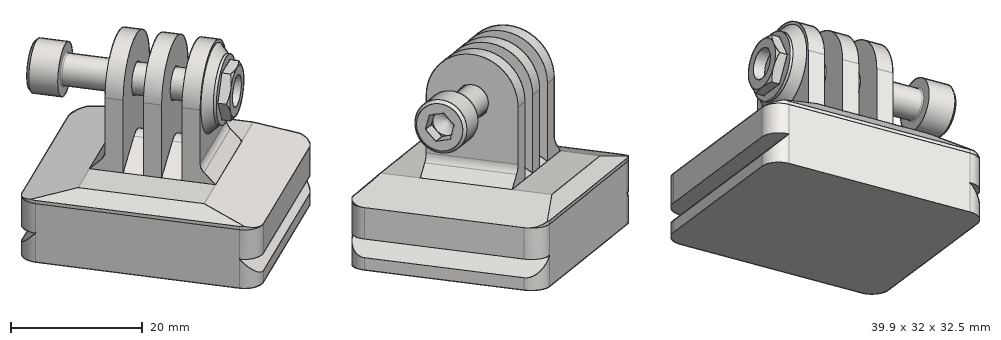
import cadquery as cq
import math


base_length = 38.0
base_width = 32.0
corner_radius = 3.0

plate_height = 10.0
notch_depth = 3.0
notch_bottom = 2.0
notch_top = notch_bottom + notch_depth

mount_base_height = 2.6
mount_top = plate_height + mount_base_height
mount_top_length = 19.85
front_bevel = 2.05

axis_height = 25.0
lug_radius = 7.5
lug_gap = 3.2
lug_thickness = 2.85
lug_count = 3
lug_pitch = lug_thickness + lug_gap
lug_stack = lug_count * lug_thickness + (lug_count - 1) * lug_gap
lug_face = lug_stack / 2
lug_foot = (mount_top_length - lug_stack) / 2
foot_fillet = 2.0
ridge_height = 4.0
ridge_radius = 3.0

boss_diameter = 11.0
boss_cone_length = 1.5
boss_rim_length = 0.48
boss_cone_diameter = boss_diameter + 2 * boss_cone_length
boss_face = lug_face + boss_cone_length + boss_rim_length

nut_flats = 8.0
nut_corners = nut_flats / math.cos(math.pi / 6)
nut_recess = 3.0
nut_projection = 1.7
nut_height = nut_recess + nut_projection
nut_start = boss_face - nut_recess
nut_chamfer_angle = math.radians(30)

screw_diameter = 5.0
screw_hole_diameter = 5.3
screw_length = 25.0
head_diameter = 8.5
head_height = 5.0
head_chamfer = 0.48
neck_fillet = 0.2
head_end = -20.85
head_seat = head_end + head_height
socket_flats = 4.2
socket_corners = socket_flats / math.cos(math.pi / 6)
socket_depth = 2.5
socket_turn = -15
drill_diameter = socket_flats
drill_cone_height = drill_diameter / 2 * math.tan(math.radians(30))


def axis_plane(x):
    """Plane facing +X at the given X, centred on the screw axis; local x is Y, local y is Z."""
    return cq.Workplane("YZ", origin=(x, 0, axis_height))


def axis_cylinder(start, end, diameter):
    return axis_plane(start).circle(diameter / 2).extrude(end - start)


def axis_cone(start, end, start_diameter, end_diameter):
    """Cone frustum along the screw axis; an end diameter of zero gives a full cone."""
    return cq.Workplane(
        cq.Solid.makeCone(
            start_diameter / 2,
            end_diameter / 2,
            end - start,
            pnt=cq.Vector(start, 0, axis_height),
            dir=cq.Vector(1, 0, 0),
        )
    )


def nut_prism(start, length):
    """Hexagon along the screw axis with two corners pointing along Y."""
    return axis_plane(start).polygon(6, nut_corners).extrude(length)


def base_block(bottom, height):
    return (
        cq.Workplane("XY", origin=(0, 0, bottom))
        .rect(base_length, base_width)
        .extrude(height)
        .edges("|Z")
        .fillet(corner_radius)
    )


def make_plate():
    """Rectangular plate with a dovetail notch along each X side."""
    plate = base_block(0, plate_height)
    for side in (-1, 1):
        outer_x = side * base_length / 2
        inner_x = outer_x - side * notch_depth
        notch = (
            cq.Workplane("XZ")
            .moveTo(outer_x, notch_bottom)
            .lineTo(inner_x, notch_top)
            .lineTo(outer_x, notch_top)
            .close()
            .extrude(base_width / 2, both=True)
        )
        plate = plate.cut(notch)
    return plate


def bevelled_base():
    """Base of the mount: shallow bevels on the X sides, short 45 degree bevels on the Y sides."""
    end_profile = (
        cq.Workplane("XZ")
        .moveTo(-base_length / 2, plate_height)
        .lineTo(base_length / 2, plate_height)
        .lineTo(mount_top_length / 2, mount_top)
        .lineTo(-mount_top_length / 2, mount_top)
        .close()
        .extrude(base_width / 2, both=True)
    )
    block = base_block(plate_height, mount_base_height)
    bevel_foot = mount_top - front_bevel
    for side in (-1, 1):
        outer_y = side * base_width / 2
        wedge = (
            cq.Workplane("YZ")
            .moveTo(outer_y, bevel_foot)
            .lineTo(outer_y, mount_top)
            .lineTo(outer_y - side * front_bevel, mount_top)
            .close()
            .extrude(base_length / 2, both=True)
        )
        block = block.cut(wedge)
    return block.intersect(end_profile)


def lug_block():
    """Lugs before slotting: splayed foot along X, round top about the screw axis."""
    lug_top = axis_height + lug_radius
    foot_top = mount_top + lug_foot
    side_profile = (
        cq.Workplane("XZ")
        .moveTo(-mount_top_length / 2, mount_top)
        .lineTo(mount_top_length / 2, mount_top)
        .lineTo(lug_face, foot_top)
        .lineTo(lug_face, lug_top)
        .lineTo(-lug_face, lug_top)
        .lineTo(-lug_face, foot_top)
        .close()
        .extrude(lug_radius, both=True)
    )
    for side in (-1, 1):
        foot_corner = cq.selectors.NearestToPointSelector((side * lug_face, 0, foot_top))
        side_profile = side_profile.edges(foot_corner).fillet(foot_fillet)
    end_profile = (
        cq.Workplane("YZ")
        .moveTo(-lug_radius, mount_top)
        .lineTo(lug_radius, mount_top)
        .lineTo(lug_radius, axis_height)
        .threePointArc((0, lug_top), (-lug_radius, axis_height))
        .close()
        .extrude(mount_top_length / 2, both=True)
    )
    return side_profile.intersect(end_profile)


def gap_cutter():
    """Space between two lugs, with a rounded ridge running along X as its floor."""
    lug_top = axis_height + lug_radius
    return (
        cq.Workplane("YZ")
        .moveTo(-lug_radius, mount_top)
        .lineTo(0, mount_top + ridge_height)
        .lineTo(lug_radius, mount_top)
        .lineTo(lug_radius, lug_top)
        .lineTo(-lug_radius, lug_top)
        .close()
        .extrude(lug_gap / 2, both=True)
        .edges(cq.selectors.NearestToPointSelector((0, 0, mount_top + ridge_height)))
        .fillet(ridge_radius)
    )


def make_mount():
    lugs = lug_block()
    for index in range(lug_count - 1):
        gap_x = (index - (lug_count - 2) / 2) * lug_pitch
        lugs = lugs.cut(gap_cutter().translate((gap_x, 0, 0)))
    boss_rim = axis_cylinder(boss_face - boss_rim_length, boss_face, boss_diameter)
    boss_cone = axis_cone(lug_face, lug_face + boss_cone_length, boss_cone_diameter, boss_diameter)
    screw_hole = axis_cylinder(-lug_face, boss_face, screw_hole_diameter)
    return (
        bevelled_base()
        .union(lugs)
        .union(boss_cone)
        .union(boss_rim)
        .cut(screw_hole)
        .cut(nut_prism(nut_start, nut_recess))
    )


def make_nut():
    """Hex nut with its outer corners chamfered at 30 degrees."""
    nut_end = nut_start + nut_height
    cone_run = nut_height / math.tan(nut_chamfer_angle)
    chamfer_cone = axis_cone(nut_start, nut_end, nut_flats + 2 * cone_run, nut_flats)
    bore = axis_cylinder(nut_start, nut_end, screw_diameter)
    return nut_prism(nut_start, nut_height).intersect(chamfer_cone).cut(bore)


def make_screw():
    head = axis_cylinder(head_end, head_seat, head_diameter).faces("<X").chamfer(head_chamfer)
    shank = axis_cylinder(head_seat, head_seat + screw_length, screw_diameter)
    neck_edge = cq.selectors.BoxSelector(
        (head_seat - neck_fillet, -screw_diameter, axis_height - screw_diameter),
        (head_seat + neck_fillet, screw_diameter, axis_height + screw_diameter),
    )
    neck_circle = cq.selectors.RadiusNthSelector(0)
    screw = head.union(shank).edges(neck_edge).edges(neck_circle).fillet(neck_fillet)
    socket = (
        axis_plane(head_end)
        .transformed(rotate=(0, 0, socket_turn))
        .polygon(6, socket_corners)
        .extrude(socket_depth)
    )
    socket_end = head_end + socket_depth
    drill_point = axis_cone(socket_end, socket_end + drill_cone_height, drill_diameter, 0)
    return screw.cut(socket).cut(drill_point)


plate = make_plate()
mount = make_mount()
nut = make_nut()
screw = make_screw()

result = cq.Compound.makeCompound([plate.val(), mount.val(), nut.val(), screw.val()])